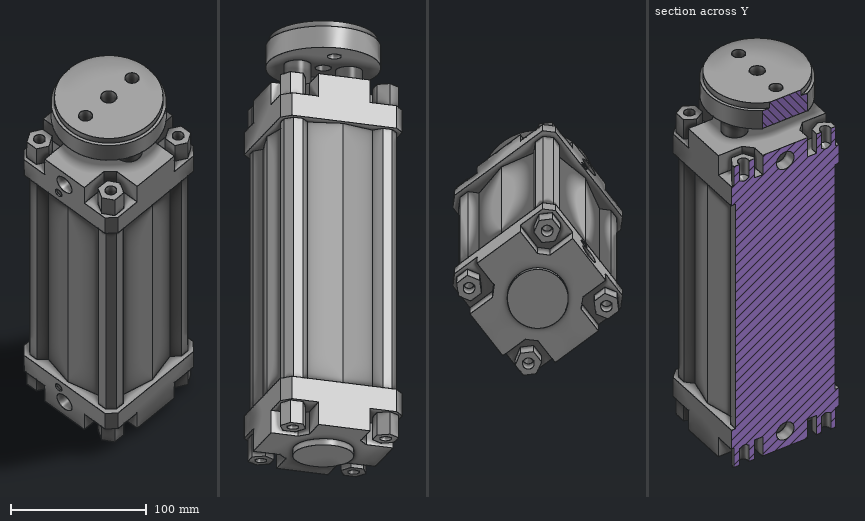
import cadquery as cq
import math

total_height = 328.0
spigot_height = 5.0
head_height = 35.5
barrel_length = 206.0

lower_head_bottom = spigot_height
barrel_bottom = lower_head_bottom + head_height
barrel_top = barrel_bottom + barrel_length
upper_head_top = barrel_top + head_height

head_width = 95.0
head_corner_chamfer = 7.0
corner_count = 4
corner_step_angle = 360 / corner_count
notch_depth = 17.7
cross_width = 40.0
notch_corner_chamfer = 6.5
spigot_diameter = 45.0

barrel_half_width = 44.0
barrel_corner_chamfer = 5.5
rail_inner_edge = 31.0
recess_depth = 6.0

nut_offset = 36.0
nut_across_corners = 19.7
nut_bore_diameter = 8.5
nut_bore_depth = notch_depth
drill_tip_angle = 118.0

port_diameter = 15.0
port_depth = 20.0
upper_port_inset = 13.0
lower_port_inset = 15.0
screw_hole_diameter = 6.5
screw_hole_depth = 1.3
screw_hole_inset = 27.2
screw_hole_x = -6.0

rod_diameter = 20.0
rod_spacing = 40.0
flange_diameter = 85.0
flange_thickness = 16.7
collar_diameter = 80.0
collar_height = 5.2
centre_hole_diameter = 11.8
side_hole_diameter = 10.2
side_hole_spacing = 50.0

flange_bottom = total_height - collar_height - flange_thickness


def make_nut():
    """Hexagonal nut standing on Z = 0, with corners pointing along X and a blind drilled bore."""
    nut = cq.Workplane("XY").polygon(6, nut_across_corners).extrude(notch_depth)
    bore_radius = nut_bore_diameter / 2
    tip_height = bore_radius / math.tan(math.radians(drill_tip_angle / 2))
    tip_bottom = notch_depth - nut_bore_depth
    bore = (
        cq.Workplane("XZ")
        .moveTo(0, tip_bottom)
        .lineTo(bore_radius, tip_bottom + tip_height)
        .lineTo(bore_radius, notch_depth)
        .lineTo(0, notch_depth)
        .close()
        .revolve(360, (0, 0), (0, 1))
    )
    return nut.cut(bore)


def make_corner_notch():
    """Square cutter for the (-X, -Y) corner, its inner corner bevelled."""
    notch_width = (head_width - cross_width) / 2
    notch_centre = -(head_width + cross_width) / 4
    return (
        cq.Workplane("XY")
        .box(notch_width, notch_width, notch_depth, centered=(True, True, False))
        .edges("|Z and >X and >Y")
        .chamfer(notch_corner_chamfer)
        .translate((notch_centre, notch_centre, head_height - notch_depth))
    )


def make_side_hole(diameter, depth, x, z):
    """Cutter for a blind hole entering a head from its -Y side."""
    return (
        cq.Workplane("XZ", origin=(x, -head_width / 2, z))
        .circle(diameter / 2)
        .extrude(-depth)
    )


def make_head(port_inset):
    """Upper end head with its inner face on Z = 0 and its port the given distance below its top."""
    head = (
        cq.Workplane("XY")
        .rect(head_width, head_width)
        .extrude(head_height)
        .edges("|Z")
        .chamfer(head_corner_chamfer)
    )
    notch = make_corner_notch()
    nut = make_nut().translate((-nut_offset, -nut_offset, head_height - notch_depth))
    for corner in range(corner_count):
        angle = corner_step_angle * corner
        head = head.cut(notch.rotate((0, 0, 0), (0, 0, 1), angle))
        head = head.union(nut.rotate((0, 0, 0), (0, 0, 1), angle))
    head = head.cut(make_side_hole(port_diameter, port_depth, 0, head_height - port_inset))
    return head.cut(
        make_side_hole(screw_hole_diameter, screw_hole_depth, screw_hole_x, head_height - screw_hole_inset)
    )


def make_barrel():
    """Extruded tube profile, built from one side's outline repeated around Z."""
    corner_edge = barrel_half_width - barrel_corner_chamfer
    recess_edge = rail_inner_edge - recess_depth
    side_outline = [
        (-corner_edge, -barrel_half_width),
        (-rail_inner_edge, -barrel_half_width),
        (-recess_edge, -barrel_half_width + recess_depth),
        (0, -barrel_half_width),
        (recess_edge, -barrel_half_width + recess_depth),
        (rail_inner_edge, -barrel_half_width),
        (corner_edge, -barrel_half_width),
    ]
    outline = []
    for _ in range(corner_count):
        outline.extend(side_outline)
        side_outline = [(-y, x) for x, y in side_outline]
    return cq.Workplane("XY").polyline(outline).close().extrude(barrel_length)


def make_housing():
    """Barrel, both heads and the locating spigot as one solid."""
    lower_head = make_head(lower_port_inset).mirror("XY").translate((0, 0, barrel_bottom))
    upper_head = make_head(upper_port_inset).translate((0, 0, barrel_top))
    barrel = make_barrel().translate((0, 0, barrel_bottom))
    spigot = cq.Workplane("XY").circle(spigot_diameter / 2).extrude(spigot_height)
    return barrel.union(lower_head).union(upper_head).union(spigot)


def make_rod_assembly():
    """Two piston rods standing on the upper head and carrying the drilled flange."""
    rod_positions = [(-rod_spacing / 2, 0), (rod_spacing / 2, 0)]
    side_hole_positions = [(0, -side_hole_spacing / 2), (0, side_hole_spacing / 2)]
    flange = (
        cq.Workplane("XY", origin=(0, 0, flange_bottom))
        .circle(flange_diameter / 2)
        .extrude(flange_thickness)
        .faces(">Z")
        .workplane()
        .circle(collar_diameter / 2)
        .extrude(collar_height)
        .faces(">Z")
        .workplane()
        .hole(centre_hole_diameter)
        .faces(">Z")
        .workplane()
        .pushPoints(side_hole_positions)
        .hole(side_hole_diameter)
    )
    rods = (
        cq.Workplane("XY", origin=(0, 0, upper_head_top))
        .pushPoints(rod_positions)
        .circle(rod_diameter / 2)
        .extrude(flange_bottom - upper_head_top)
    )
    return flange.union(rods)


housing = make_housing()
rod_assembly = make_rod_assembly()

result = cq.Compound.makeCompound([housing.val(), rod_assembly.val()])